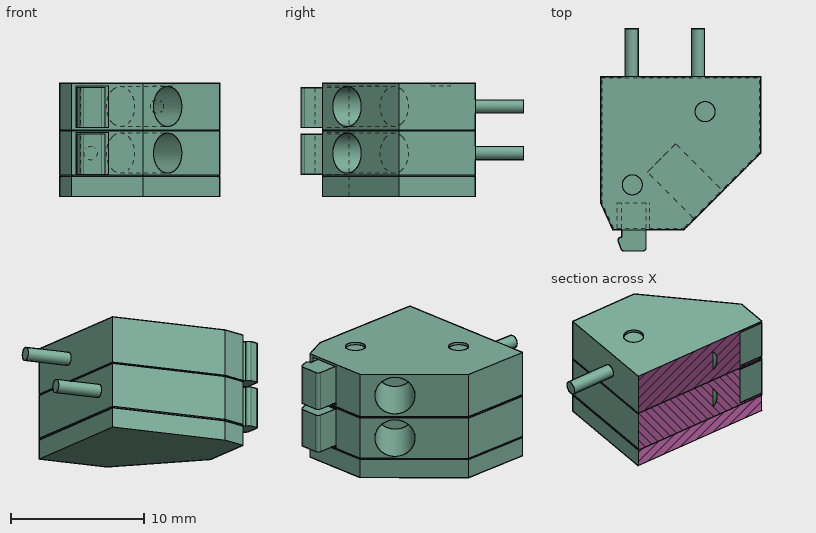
import cadquery as cq

WIDTH = 12.0
DEPTH = 11.49
HEIGHT = 8.5
BASE_HEIGHT = 1.5
MODULE_COUNT = 2
MODULE_HEIGHT = (HEIGHT - BASE_HEIGHT) / MODULE_COUNT
SEAM_BEVEL = 0.1

LEFT_CUT_X = 0.9
LEFT_CUT_Y = 1.99
RIGHT_CUT = 5.76

WIRE_HOLE_DIAMETER = 3.0
WIRE_HOLE_DEPTH = 5.01
WIRE_HOLE_X = 8.1
WIRE_HOLE_Y = WIRE_HOLE_X - (WIDTH - RIGHT_CUT)
AXIS_ABOVE_MODULE_FLOOR = 1.75

SLOT_LEFT = 1.24
SLOT_WIDTH = 2.44
SLOT_DEPTH = 2.0
SLOT_BOTTOM = 0.17
SLOT_HEIGHT = 3.14
LEVER_HEIGHT = 3.0
LEVER_LEFT = 1.57
LEVER_RIGHT = 3.4
LEVER_REACH = 1.6
HOOK_LEFT = 1.19
HOOK_OFFSET = 0.55
NOSE_LEFT = 1.59
HOOK_RADIUS = 0.23
NOSE_RADIUS = 0.27

RECESS_DIAMETER = 1.5
RECESS_DEPTH = 0.2
RECESS_CENTRES = [(2.37, 3.37), (7.83, 8.87)]

PIN_DIAMETER = 1.0
TOTAL_DEPTH = 16.7
PIN_LENGTH = TOTAL_DEPTH - DEPTH - LEVER_REACH
PIN_XS = [2.32, 7.3]


def module_floor(level):
    return BASE_HEIGHT + level * MODULE_HEIGHT


def housing_block(floor, height):
    outline = [
        (LEFT_CUT_X, 0),
        (WIDTH - RIGHT_CUT, 0),
        (WIDTH, RIGHT_CUT),
        (WIDTH, DEPTH),
        (0, DEPTH),
        (0, LEFT_CUT_Y),
    ]
    return cq.Workplane("XY").workplane(offset=floor).polyline(outline).close().extrude(height)


def lever_slot(floor):
    return (
        cq.Workplane("XY")
        .box(SLOT_WIDTH, SLOT_DEPTH, SLOT_HEIGHT, centered=False)
        .translate((SLOT_LEFT, 0, floor + SLOT_BOTTOM))
    )


def wire_hole(floor):
    inward = cq.Vector(-1, 1, 0).normalized()
    mouth = cq.Vector(WIRE_HOLE_X, WIRE_HOLE_Y, floor + AXIS_ABOVE_MODULE_FLOOR)
    start = mouth - inward * WIRE_HOLE_DIAMETER
    length = WIRE_HOLE_DIAMETER + WIRE_HOLE_DEPTH
    return cq.Workplane(cq.Solid.makeCylinder(WIRE_HOLE_DIAMETER / 2, length, start, inward))


def make_module(level):
    floor = module_floor(level)
    block = housing_block(floor, MODULE_HEIGHT)
    if level == 0:
        block = block.faces("<Z or >Z").chamfer(SEAM_BEVEL)
    block = block.cut(lever_slot(floor)).cut(wire_hole(floor))
    if level == MODULE_COUNT - 1:
        top = floor + MODULE_HEIGHT
        recesses = (
            cq.Workplane("XY")
            .workplane(offset=top - RECESS_DEPTH)
            .pushPoints(RECESS_CENTRES)
            .circle(RECESS_DIAMETER / 2)
            .extrude(RECESS_DEPTH)
        )
        block = block.cut(recesses)
    return block


def make_lever(level):
    outline = [
        (LEVER_LEFT, SLOT_DEPTH),
        (LEVER_LEFT, -HOOK_OFFSET),
        (HOOK_LEFT, -HOOK_OFFSET),
        (NOSE_LEFT, -LEVER_REACH),
        (LEVER_RIGHT, -LEVER_REACH),
        (LEVER_RIGHT, SLOT_DEPTH),
    ]
    bottom = module_floor(level) + SLOT_BOTTOM
    lever = cq.Workplane("XY").workplane(offset=bottom).polyline(outline).close().extrude(LEVER_HEIGHT)
    lever = lever.edges("|Z").edges("<X").fillet(HOOK_RADIUS)
    return lever.edges("|Z").edges("<Y").fillet(NOSE_RADIUS)


def make_pin(level):
    height = module_floor(level) + AXIS_ABOVE_MODULE_FLOOR
    root = cq.Vector(PIN_XS[level], DEPTH, height)
    return cq.Workplane(cq.Solid.makeCylinder(PIN_DIAMETER / 2, PIN_LENGTH, root, cq.Vector(0, 1, 0)))


base_plate = housing_block(0, BASE_HEIGHT)
modules = [make_module(level) for level in range(MODULE_COUNT)]
levers = [make_lever(level) for level in range(MODULE_COUNT)]
pins = [make_pin(level) for level in range(MODULE_COUNT)]

bodies = [base_plate, *modules, *levers, *pins]
result = cq.Compound.makeCompound([body.val() for body in bodies])